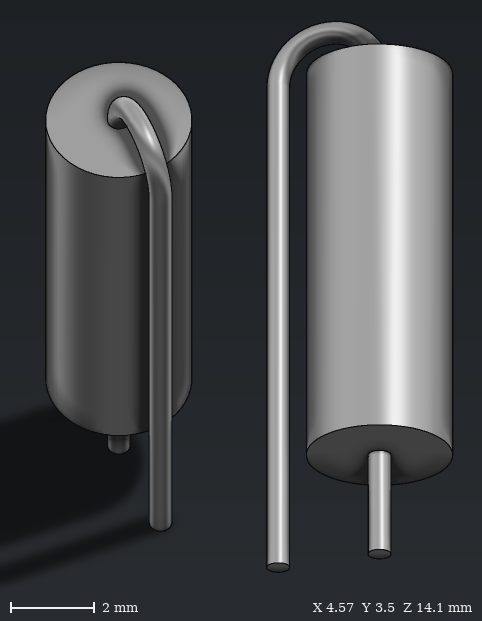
import cadquery as cq

body_diameter = 3.5
body_length = 10.0
wire_diameter = 0.55
lead_pitch = 2.54
crest_length = 0.04
overall_height = 14.12

bend_radius = (lead_pitch - crest_length) / 2
bend_height = bend_radius + wire_diameter / 2
lead_length = overall_height - body_length - bend_height
body_top = lead_length + body_length


def upright_cylinder(diameter, x, bottom, top):
    """Vertical cylinder centred at (x, 0) between two heights."""
    return (
        cq.Workplane("XY", origin=(x, 0, bottom))
        .circle(diameter / 2)
        .extrude(top - bottom)
    )


def wire_bend():
    """Two quarter bends and a level crest, from the body axis to the return lead."""
    path = (
        cq.Workplane("XZ", origin=(0, 0, body_top))
        .radiusArc((bend_radius, bend_radius), bend_radius)
        .hLine(crest_length)
        .radiusArc((lead_pitch, 0), bend_radius)
    )
    return (
        cq.Workplane("XY", origin=(0, 0, body_top))
        .circle(wire_diameter / 2)
        .sweep(path)
    )


body = upright_cylinder(body_diameter, 0, lead_length, body_top)
straight_lead = upright_cylinder(wire_diameter, 0, 0, body_top)
return_lead = upright_cylinder(wire_diameter, lead_pitch, 0, body_top)

result = body.union(straight_lead).union(wire_bend()).union(return_lead)